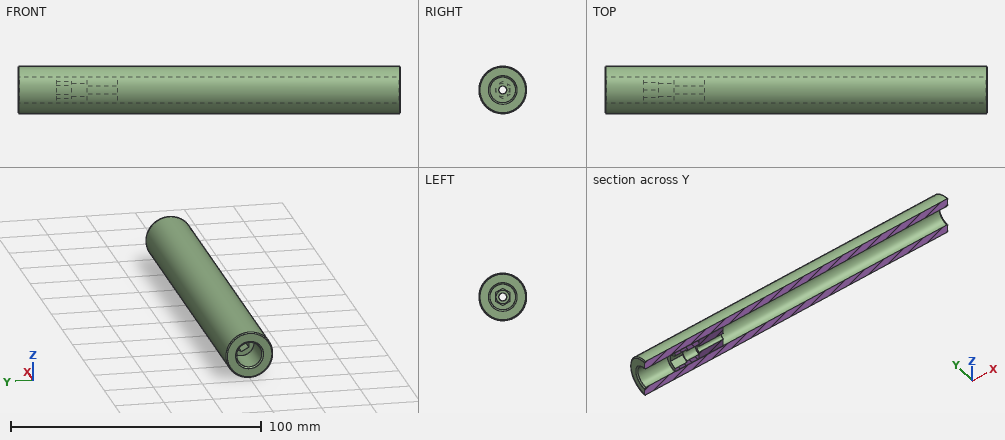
import cadquery as cq
import math

tube_length = 152.4
tube_diameter = 19.0
bore_diameter = 10.2
outer_chamfer = 0.5
bore_chamfer = 0.6

screw_length = 12.2
screw_depth = 15.2
hex_across_flats = 6.0
socket_depth = 6.1
screw_hole_diameter = 5.3

plug_length = 12.2
plug_hole_diameter = 3.0

tube_start = -tube_length / 2
screw_start = tube_start + screw_depth
plug_start = screw_start + screw_length


def cylinder_along_x(start, length, diameter):
    """Solid cylinder on the X axis, running from start toward +X."""
    return cq.Workplane("YZ", origin=(start, 0, 0)).circle(diameter / 2).extrude(length)


def make_tube():
    """Through-bored tube with its outer and bore rims chamfered at both ends."""
    body = cylinder_along_x(tube_start, tube_length, tube_diameter)
    body = body.faces("<X or >X").edges().chamfer(outer_chamfer)
    bore = cylinder_along_x(tube_start, tube_length, bore_diameter)
    bore_rims = cq.selectors.RadiusNthSelector(0)
    return body.cut(bore).faces("<X or >X").edges(bore_rims).chamfer(bore_chamfer)


def make_hex_socket():
    """Hexagonal prism with one pair of flats facing +Y and -Y."""
    across_corners = hex_across_flats / math.cos(math.pi / 6)
    return (
        cq.Workplane("YZ", origin=(screw_start, 0, 0))
        .transformed(rotate=(0, 0, 90))
        .polygon(6, across_corners)
        .extrude(socket_depth)
    )


def make_screw():
    """Headless screw filling the bore, with a hex socket and an axial hole."""
    body = cylinder_along_x(screw_start, screw_length, bore_diameter)
    axial_hole = cylinder_along_x(screw_start, screw_length, screw_hole_diameter)
    return body.cut(make_hex_socket()).cut(axial_hole)


def make_plug():
    """Cylindrical plug filling the bore, pierced by a narrow axial hole."""
    body = cylinder_along_x(plug_start, plug_length, bore_diameter)
    return body.cut(cylinder_along_x(plug_start, plug_length, plug_hole_diameter))


tube = make_tube()
screw = make_screw()
plug = make_plug()

result = cq.Compound.makeCompound([tube.val(), screw.val(), plug.val()])